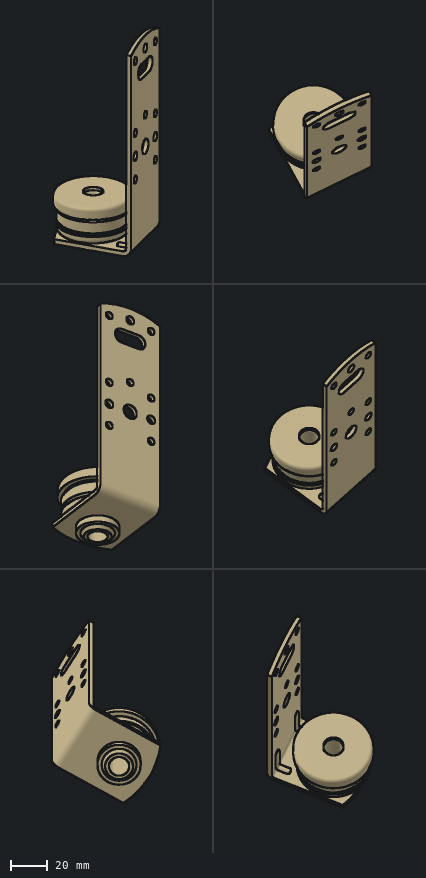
import cadquery as cq
import math


total_height = 131.8
sheet = 3.0
width = 40.0
wall_outer_x = 31.0
base_z = 6.3
base_tip_x = -18.9
end_arc_radius = 50.0
bend_inner_radius = 2.0
bend_outer_radius = bend_inner_radius + sheet
wall_inner_x = wall_outer_x - sheet
base_top_z = base_z + sheet
end_arc_rise = end_arc_radius - math.sqrt(end_arc_radius**2 - (width / 2) ** 2)

hole_pitch = 14.0
small_hole = 4.2
medium_hole = 5.0
large_hole = 8.6
slot_length = 20.0
slot_height = 8.7
top_center_hole_depth = 7.8
top_side_hole_depth = 9.8
slot_depth = 19.8
upper_center_hole_depth = 48.0
large_hole_depth = 67.0
top_center_hole_z = total_height - top_center_hole_depth
top_side_hole_z = total_height - top_side_hole_depth
slot_z = total_height - slot_depth
upper_center_hole_z = total_height - upper_center_hole_depth
large_hole_z = total_height - large_hole_depth

bead_radius = 2.0
bead_sink = 0.5
bead_end_round = 1.3
bead_y = 12.9
bead_wall_length = 21.0
bead_base_length = 11.1
bead_top_z = base_z + bead_wall_length
bead_start_x = wall_outer_x - bead_base_length

flange_radius = 22.0
body_radius = 20.2
neck_radius = 18.9
puck_height = 23.1
flange_height = 7.3
puck_top_z = base_top_z + puck_height
flange_bottom_z = puck_top_z - flange_height
groove_slope = 1.2
upper_neck_height = 1.0
body_bottom_z = 16.3
lower_neck_z = body_bottom_z - groove_slope
lower_ring_top_z = 14.1
puck_round = 2.5
stem_radius = 11.9
stem_shoulder_z = 2.2
tip_top_radius = 9.5
tip_bottom_radius = 7.6
bore_radius = 5.5
bore_lip = 2.0
bore_round = 2.5


def box_between(x0, x1, y0, y1, z0, z1):
    return cq.Workplane("XY").box(x1 - x0, y1 - y0, z1 - z0, centered=False).translate((x0, y0, z0))


def make_bracket():
    """Bent L-shaped strip whose two ends are arcs across the width."""
    half = width / 2
    block = box_between(base_tip_x, wall_outer_x, -half, half, base_z, total_height)
    block = block.edges("|Y and >X and <Z").fillet(bend_outer_radius)
    inside = box_between(base_tip_x, wall_inner_x, -half, half, base_top_z, total_height)
    inside = inside.edges("|Y and >X and <Z").fillet(bend_inner_radius)
    base_outline = (
        cq.Workplane("XY")
        .moveTo(wall_outer_x, -half)
        .lineTo(base_tip_x + end_arc_rise, -half)
        .threePointArc((base_tip_x, 0), (base_tip_x + end_arc_rise, half))
        .lineTo(wall_outer_x, half)
        .close()
        .extrude(total_height)
    )
    wall_outline = (
        cq.Workplane("YZ")
        .moveTo(-half, 0)
        .lineTo(-half, total_height - end_arc_rise)
        .threePointArc((0, total_height), (half, total_height - end_arc_rise))
        .lineTo(half, 0)
        .close()
        .extrude(wall_outer_x - base_tip_x)
        .translate((base_tip_x, 0, 0))
    )
    return block.cut(inside).intersect(base_outline).intersect(wall_outline)


def make_wall_cutters():
    """Round holes and the slot that pass through the upright wall."""
    wall = cq.Workplane("YZ", origin=(wall_inner_x, 0, 0))

    def holes(diameter, centers):
        return wall.pushPoints(centers).circle(diameter / 2).extrude(sheet)

    sides = (-hole_pitch, hole_pitch)
    small_centers = [(0, upper_center_hole_z)]
    for z in (top_side_hole_z, large_hole_z + hole_pitch, large_hole_z - hole_pitch):
        small_centers += [(y, z) for y in sides]
    medium_centers = [(0, top_center_hole_z)]
    medium_centers += [(y, large_hole_z) for y in sides]

    slot = wall.center(0, slot_z).slot2D(slot_length, slot_height).extrude(sheet)
    return [
        holes(small_hole, small_centers),
        holes(medium_hole, medium_centers),
        holes(large_hole, [(0, large_hole_z)]),
        slot,
    ]


def make_bead(y):
    """Round bead that runs along the base, round the bend and up the wall."""
    axis_x = wall_inner_x + bead_sink
    axis_z = base_top_z - bead_sink
    turn = bend_inner_radius + bead_sink
    diagonal = turn * (1 - math.sqrt(0.5))
    path = (
        cq.Workplane("XZ", origin=(0, y, 0))
        .moveTo(bead_start_x, axis_z)
        .lineTo(axis_x - turn, axis_z)
        .threePointArc((axis_x - diagonal, axis_z + diagonal), (axis_x, axis_z + turn))
        .lineTo(axis_x, bead_top_z)
    )
    bead = cq.Workplane("YZ", origin=(bead_start_x, y, axis_z)).circle(bead_radius).sweep(path)
    return bead.faces("<X or >Z").edges().fillet(bead_end_round)


def make_puck():
    """Turned flange, grooved body and stem; the bore has a rounded shoulder under its lip."""
    corner = math.sqrt(0.5)
    flange_round_r = flange_radius - puck_round
    flange_round_z = puck_top_z - puck_round
    ring_round_r = body_radius - puck_round
    ring_round_z = base_top_z + puck_round
    lip_z = puck_top_z - bore_lip
    bore_round_r = bore_radius + bore_round
    bore_round_z = lip_z - bore_round
    return (
        cq.Workplane("XZ")
        .moveTo(bore_radius, 0)
        .lineTo(tip_bottom_radius, 0)
        .lineTo(tip_top_radius, stem_shoulder_z)
        .lineTo(stem_radius, stem_shoulder_z)
        .lineTo(stem_radius, base_top_z)
        .lineTo(ring_round_r, base_top_z)
        .threePointArc(
            (ring_round_r + puck_round * corner, ring_round_z - puck_round * corner),
            (body_radius, ring_round_z),
        )
        .lineTo(body_radius, lower_ring_top_z)
        .lineTo(neck_radius, lower_ring_top_z)
        .lineTo(neck_radius, lower_neck_z)
        .lineTo(body_radius, body_bottom_z)
        .lineTo(body_radius, flange_bottom_z - upper_neck_height - groove_slope)
        .lineTo(neck_radius, flange_bottom_z - upper_neck_height)
        .lineTo(neck_radius, flange_bottom_z)
        .lineTo(flange_radius, flange_bottom_z)
        .lineTo(flange_radius, flange_round_z)
        .threePointArc(
            (flange_round_r + puck_round * corner, flange_round_z + puck_round * corner),
            (flange_round_r, puck_top_z),
        )
        .lineTo(bore_radius, puck_top_z)
        .lineTo(bore_radius, lip_z)
        .lineTo(bore_round_r, lip_z)
        .threePointArc(
            (bore_round_r - bore_round * corner, bore_round_z + bore_round * corner),
            (bore_radius, bore_round_z),
        )
        .close()
        .revolve(360, (0, 0, 0), (0, 1, 0))
    )


bracket = make_bracket()
for cutter in make_wall_cutters():
    bracket = bracket.cut(cutter)
for side in (-1, 1):
    bracket = bracket.union(make_bead(side * bead_y))

bore_clearance = cq.Workplane("XY").circle(bore_radius).extrude(puck_top_z)
result = bracket.cut(bore_clearance).union(make_puck())